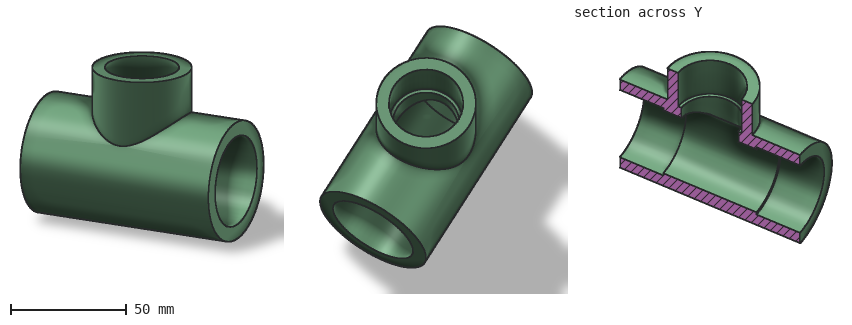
import cadquery as cq


run_length = 91.0
run_outer_diameter = 53.0
run_socket_diameter = 40.0
run_bore_diameter = 37.33
run_socket_depth = 22.0

branch_height = 45.0
branch_outer_diameter = 43.0
branch_socket_diameter = 32.0
branch_bore_diameter = 28.67
branch_socket_depth = 20.0


def cylinder_along_x(diameter, x_start, length):
    """Cylinder on the run axis, from x_start towards +X."""
    return cq.Workplane("YZ", origin=(x_start, 0, 0)).circle(diameter / 2).extrude(length)


def cylinder_along_z(diameter, z_start, length):
    """Cylinder on the branch axis, from z_start towards +Z."""
    return cq.Workplane("XY", origin=(0, 0, z_start)).circle(diameter / 2).extrude(length)


def make_body():
    """Solid outer shape: run and branch joined."""
    run = cylinder_along_x(run_outer_diameter, -run_length / 2, run_length)
    branch = cylinder_along_z(branch_outer_diameter, 0, branch_height)
    return run.union(branch)


def cut_run(body):
    """Through bore of the run, with a pipe socket at each end."""
    body = body.cut(cylinder_along_x(run_bore_diameter, -run_length / 2, run_length))
    for x_start in (-run_length / 2, run_length / 2 - run_socket_depth):
        body = body.cut(cylinder_along_x(run_socket_diameter, x_start, run_socket_depth))
    return body


def cut_branch(body):
    """Branch bore opening into the run, with a pipe socket at the mouth."""
    socket_floor = branch_height - branch_socket_depth
    body = body.cut(cylinder_along_z(branch_bore_diameter, 0, branch_height))
    return body.cut(cylinder_along_z(branch_socket_diameter, socket_floor, branch_socket_depth))


result = cut_branch(cut_run(make_body()))